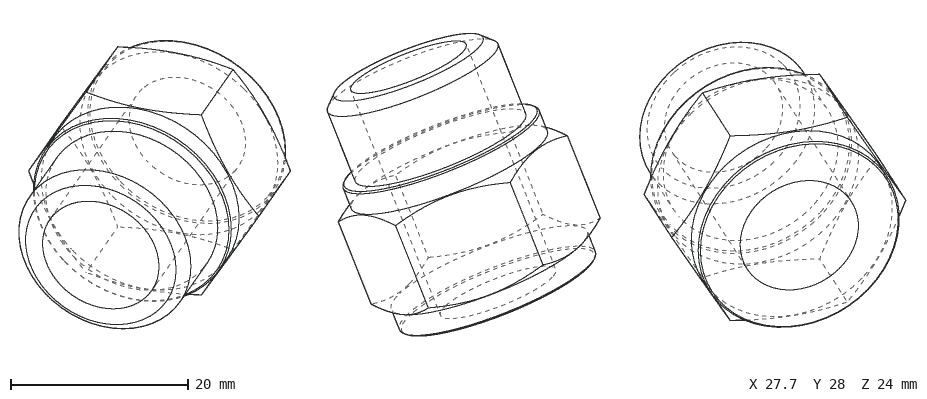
import cadquery as cq
import math

hex_sides = 6
across_flats = 24.0
total_length = 28.0
spigot_length = 10.0
spigot_diameter = 20.7
spigot_chamfer = 1.3
collar_diameter = 23.8
collar_length = 2.75
collar_edge_chamfer = 0.2
bore_diameter = 14.0
hex_chamfer_angle = 30.0

across_corners = across_flats / math.cos(math.pi / hex_sides)
corner_radius = across_corners / 2
collar_radius = collar_diameter / 2
spigot_radius = spigot_diameter / 2
body_length = total_length - spigot_length
hex_start = spigot_length + collar_length
hex_end = total_length - collar_length
hex_chamfer_depth = (corner_radius - collar_radius) * math.tan(math.radians(hex_chamfer_angle))


def cylinder(radius, start, length):
    """Solid cylinder on the Y axis, from y = start towards +Y."""
    return cq.Workplane("XZ", origin=(0, start, 0)).circle(radius).extrude(-length)


def make_hexagon():
    """Wrench hexagon with corners on +/-X, both ends turned to a cone."""
    prism = (
        cq.Workplane("XZ", origin=(0, hex_start, 0))
        .polygon(hex_sides, across_corners)
        .extrude(hex_start - hex_end)
    )
    turned_envelope = (
        cq.Workplane("XY")
        .moveTo(0, hex_start)
        .lineTo(collar_radius, hex_start)
        .lineTo(corner_radius, hex_start + hex_chamfer_depth)
        .lineTo(corner_radius, hex_end - hex_chamfer_depth)
        .lineTo(collar_radius, hex_end)
        .lineTo(0, hex_end)
        .close()
        .revolve(360, (0, 0, 0), (0, 1, 0))
    )
    return prism.intersect(turned_envelope)


def make_collared_body():
    """Round body whose two ends stand out beyond the hexagon as collars."""
    body = cylinder(collar_radius, spigot_length, body_length)
    return body.faces("<Y or >Y").edges().chamfer(collar_edge_chamfer)


def make_spigot():
    """Plain round end with a chamfered nose."""
    return cylinder(spigot_radius, 0, spigot_length).faces("<Y").edges().chamfer(spigot_chamfer)


outside = make_collared_body().union(make_hexagon()).union(make_spigot())
result = outside.cut(cylinder(bore_diameter / 2, 0, total_length))